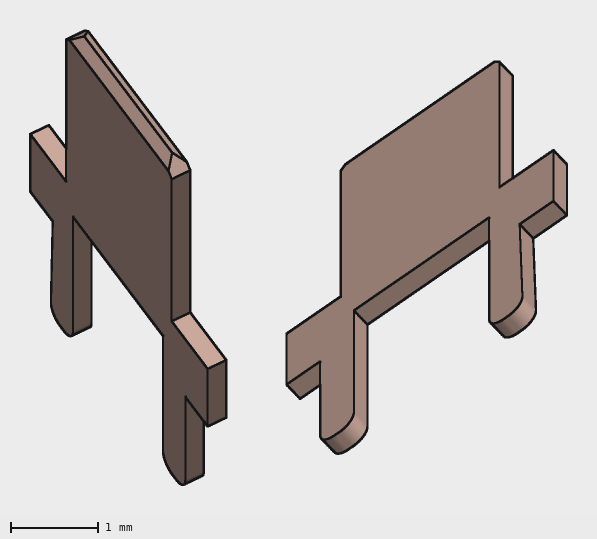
import cadquery as cq

height = 5.8
thickness = 0.25
shoulder_width = 3.95

blade_width = 2.35
corner_chamfer = 0.2
edge_bevel = thickness / 2

shoulder_top = 2.9
shoulder_bottom = 1.805
slot_height = 2.4
slot_width = 2.0
leg_width = 0.5
leg_offset = -0.025
left_leg_narrowing = 0.045
tip_radius = 0.21

half_shoulder = shoulder_width / 2
half_blade = blade_width / 2
slot_left = leg_offset - slot_width / 2
slot_right = leg_offset + slot_width / 2
leg_left = slot_left - leg_width
leg_right = slot_right + leg_width


def make_plate():
    """Flat terminal outline, extruded symmetrically about the XZ plane."""
    outline = [
        (slot_left, 0),
        (slot_left, slot_height),
        (slot_right, slot_height),
        (slot_right, 0),
        (leg_right, 0),
        (leg_right, shoulder_bottom),
        (half_shoulder, shoulder_bottom),
        (half_shoulder, shoulder_top),
        (half_blade, shoulder_top),
        (half_blade, height - corner_chamfer),
        (half_blade - corner_chamfer, height),
        (corner_chamfer - half_blade, height),
        (-half_blade, height - corner_chamfer),
        (-half_blade, shoulder_top),
        (-half_shoulder, shoulder_top),
        (-half_shoulder, shoulder_bottom),
        (leg_left + left_leg_narrowing, shoulder_bottom),
        (leg_left, 0),
    ]
    return cq.Workplane("XZ").polyline(outline).close().extrude(thickness / 2, both=True)


def make_ridge_envelope():
    """Full-width bar whose top is bevelled from both faces to a ridge."""
    half_thickness = thickness / 2
    profile = [
        (-half_thickness, 0),
        (half_thickness, 0),
        (half_thickness, height - edge_bevel),
        (0, height),
        (-half_thickness, height - edge_bevel),
    ]
    return cq.Workplane("YZ").polyline(profile).close().extrude(half_shoulder, both=True)


plate = make_plate()
rounded_plate = plate.faces("<Z").edges("|Y").fillet(tip_radius)
result = rounded_plate.intersect(make_ridge_envelope())